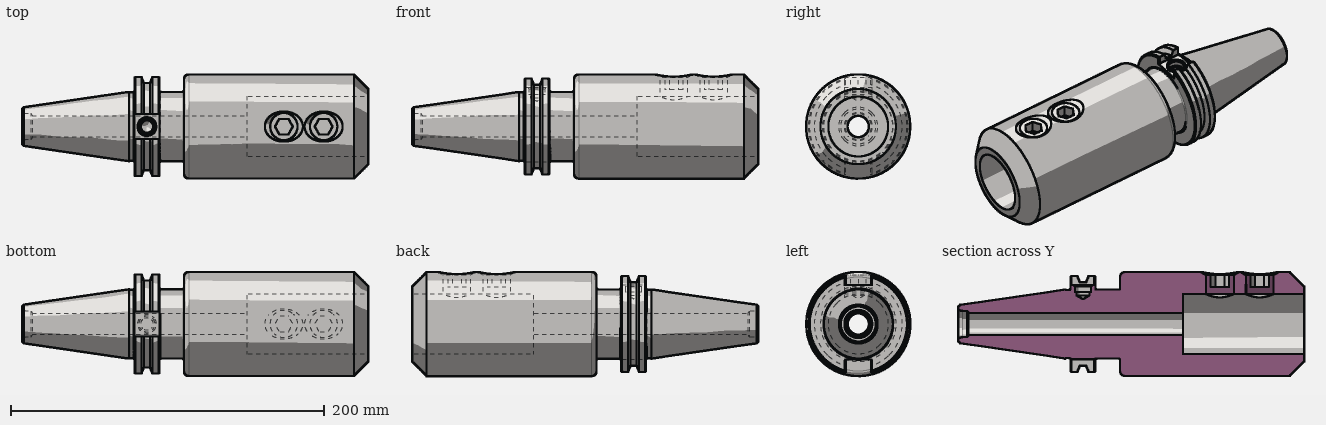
import cadquery as cq
import math

TOTAL_LENGTH = 220.6

TAPER_SMALL_DIA = 24.5
TAPER_LARGE_DIA = 44.4
TAPER_END_X = 68.0
TAPER_TIP_CHAMFER = 1.0
COLLAR_DIA = 44.0
COLLAR_RELIEF = 0.9

FLANGE_DIA = 63.3
FLANGE_START_X = 71.5
FLANGE_END_X = 87.5
FLANGE_CHAMFER = 0.7
GROOVE_FLOOR_DIA = 55.8
GROOVE_FLOOR_WIDTH = 4.0
GROOVE_MOUTH_WIDTH = 7.0

NECK_DIA = 44.4
NECK_FILLET = 0.7
BODY_DIA = 66.6
BODY_START_X = 103.0
SHOULDER_FILLET = 3.3
NOSE_CHAMFER = 9.3

COOLANT_DIA = 13.5
PILOT_DIA = 16.5
PILOT_MOUTH_DIA = 17.9
PILOT_MOUTH_DEPTH = 2.6
PILOT_DEPTH = 5.7
SHANK_BORE_DIA = 38.2
SHANK_BORE_DEPTH = 77.2

SLOT_WIDTH = 15.9
SLOT_EDGE_CHAMFER = 0.9
UPPER_SLOT_FLOOR = 25.0
LOWER_SLOT_FLOOR = 22.5
LOWER_SLOT_CORNER = 1.8

KEY_HOLE_MOUTH_DIA = 12.0
KEY_HOLE_DIA = 10.1
KEY_HOLE_STEP_DIA = 8.0
KEY_HOLE_STEP_DEPTH = 4.5
KEY_HOLE_DEPTH = 6.6

SCREW_DIA = 17.5
SCREW_XS = (166.8, 192.2)
SCREW_TOP_Z = 31.3
HEX_ACROSS_FLATS = 10.0
HEX_DEPTH = 7.7

CONE_HALF_ANGLE = 60.0

BODY_RADIUS = BODY_DIA / 2
FLANGE_RADIUS = FLANGE_DIA / 2
NECK_RADIUS = NECK_DIA / 2
FLANGE_MID_X = (FLANGE_START_X + FLANGE_END_X) / 2
FLANGE_WIDTH = FLANGE_END_X - FLANGE_START_X
BORE_START_X = TOTAL_LENGTH - SHANK_BORE_DEPTH
SCREW_BOTTOM_Z = SHANK_BORE_DIA / 2


def cone_length(start_dia, end_dia):
    """Axial length of a cone running between two diameters."""
    return abs(start_dia - end_dia) / 2 / math.tan(math.radians(CONE_HALF_ANGLE))


def arc_setback(radius):
    """Distance from a square corner, along each side, to the middle of its rounding arc."""
    return radius * (1 - math.sqrt(0.5))


def revolve_about_x(profile):
    """Turn a closed (x, radius) profile around the tool axis."""
    return profile.close().revolve(360, (0, 0, 0), (1, 0, 0))


def revolve_about_z(points, x):
    """Turn a closed (radius, z) outline around a vertical axis at the given X."""
    turned = cq.Workplane("XZ").polyline(points).close().revolve(360, (0, 0, 0), (0, 1, 0))
    return turned.translate((x, 0, 0))


def make_outer_form():
    """Taper, collar, grooved flange, neck and body as one turned solid."""
    taper_slope = (TAPER_LARGE_DIA - TAPER_SMALL_DIA) / 2 / TAPER_END_X
    tip_radius = TAPER_SMALL_DIA / 2
    collar_radius = COLLAR_DIA / 2
    floor_radius = GROOVE_FLOOR_DIA / 2
    flange_edge_radius = FLANGE_RADIUS - FLANGE_CHAMFER
    half_floor = GROOVE_FLOOR_WIDTH / 2
    half_mouth = GROOVE_MOUTH_WIDTH / 2
    shoulder_arc = arc_setback(SHOULDER_FILLET)
    neck_arc = arc_setback(NECK_FILLET)
    profile = (
        cq.Workplane("XY")
        .moveTo(0, 0)
        .lineTo(0, tip_radius - TAPER_TIP_CHAMFER)
        .lineTo(TAPER_TIP_CHAMFER, tip_radius + TAPER_TIP_CHAMFER * taper_slope)
        .lineTo(TAPER_END_X, TAPER_LARGE_DIA / 2)
        .lineTo(TAPER_END_X + COLLAR_RELIEF, collar_radius)
        .lineTo(FLANGE_START_X - NECK_FILLET, collar_radius)
        .threePointArc(
            (FLANGE_START_X - neck_arc, collar_radius + neck_arc),
            (FLANGE_START_X, collar_radius + NECK_FILLET),
        )
        .lineTo(FLANGE_START_X, flange_edge_radius)
        .lineTo(FLANGE_START_X + FLANGE_CHAMFER, FLANGE_RADIUS)
        .lineTo(FLANGE_MID_X - half_mouth, FLANGE_RADIUS)
        .lineTo(FLANGE_MID_X - half_floor, floor_radius)
        .lineTo(FLANGE_MID_X + half_floor, floor_radius)
        .lineTo(FLANGE_MID_X + half_mouth, FLANGE_RADIUS)
        .lineTo(FLANGE_END_X - FLANGE_CHAMFER, FLANGE_RADIUS)
        .lineTo(FLANGE_END_X, flange_edge_radius)
        .lineTo(FLANGE_END_X, NECK_RADIUS + NECK_FILLET)
        .threePointArc(
            (FLANGE_END_X + neck_arc, NECK_RADIUS + neck_arc),
            (FLANGE_END_X + NECK_FILLET, NECK_RADIUS),
        )
        .lineTo(BODY_START_X - NECK_FILLET, NECK_RADIUS)
        .threePointArc(
            (BODY_START_X - neck_arc, NECK_RADIUS + neck_arc),
            (BODY_START_X, NECK_RADIUS + NECK_FILLET),
        )
        .lineTo(BODY_START_X, BODY_RADIUS - SHOULDER_FILLET)
        .threePointArc(
            (BODY_START_X + shoulder_arc, BODY_RADIUS - shoulder_arc),
            (BODY_START_X + SHOULDER_FILLET, BODY_RADIUS),
        )
        .lineTo(TOTAL_LENGTH - NOSE_CHAMFER, BODY_RADIUS)
        .lineTo(TOTAL_LENGTH, BODY_RADIUS - NOSE_CHAMFER)
        .lineTo(TOTAL_LENGTH, 0)
    )
    return revolve_about_x(profile)


def make_central_passage():
    """Pull-stud pilot, through passage and shank bore along the tool axis."""
    cone_end_x = PILOT_DEPTH + cone_length(PILOT_DIA, COOLANT_DIA)
    profile = (
        cq.Workplane("XY")
        .moveTo(0, 0)
        .lineTo(0, PILOT_MOUTH_DIA / 2)
        .lineTo(PILOT_MOUTH_DEPTH, PILOT_DIA / 2)
        .lineTo(PILOT_DEPTH, PILOT_DIA / 2)
        .lineTo(cone_end_x, COOLANT_DIA / 2)
        .lineTo(BORE_START_X, COOLANT_DIA / 2)
        .lineTo(BORE_START_X, SHANK_BORE_DIA / 2)
        .lineTo(TOTAL_LENGTH, SHANK_BORE_DIA / 2)
        .lineTo(TOTAL_LENGTH, 0)
    )
    return revolve_about_x(profile)


def make_drive_slot(floor_distance):
    """Slot cutter on the +Z side, flared where it meets the two flange faces."""
    half = SLOT_WIDTH / 2
    flare = half + SLOT_EDGE_CHAMFER
    left, right = FLANGE_START_X, FLANGE_END_X
    outline = [
        (left, -flare),
        (left + SLOT_EDGE_CHAMFER, -half),
        (right - SLOT_EDGE_CHAMFER, -half),
        (right, -flare),
        (right, flare),
        (right - SLOT_EDGE_CHAMFER, half),
        (left + SLOT_EDGE_CHAMFER, half),
        (left, flare),
    ]
    depth = FLANGE_RADIUS - floor_distance
    return cq.Workplane("XY").workplane(offset=floor_distance).polyline(outline).close().extrude(depth)


def make_lower_slot():
    """Deeper slot cutter with rounded floor corners, on the -Z side."""
    mouth_width = SLOT_WIDTH + 2 * SLOT_EDGE_CHAMFER
    bar = (
        cq.Workplane("XY")
        .workplane(offset=LOWER_SLOT_FLOOR)
        .center(FLANGE_MID_X, 0)
        .rect(FLANGE_WIDTH, mouth_width)
        .extrude(FLANGE_RADIUS - LOWER_SLOT_FLOOR)
        .edges("|X and <Z")
        .fillet(LOWER_SLOT_CORNER)
    )
    cutter = make_drive_slot(LOWER_SLOT_FLOOR).intersect(bar)
    return cutter.rotate((0, 0, 0), (1, 0, 0), 180)


def make_key_hole():
    """Countersunk, stepped blind hole with a conical bottom."""
    top = UPPER_SLOT_FLOOR
    sink_z = top - (KEY_HOLE_MOUTH_DIA - KEY_HOLE_DIA) / 2
    step_z = top - KEY_HOLE_STEP_DEPTH
    floor_z = top - KEY_HOLE_DEPTH
    tip_z = floor_z - cone_length(KEY_HOLE_STEP_DIA, 0)
    outline = [
        (0, top),
        (KEY_HOLE_MOUTH_DIA / 2, top),
        (KEY_HOLE_DIA / 2, sink_z),
        (KEY_HOLE_DIA / 2, step_z),
        (KEY_HOLE_STEP_DIA / 2, step_z),
        (KEY_HOLE_STEP_DIA / 2, floor_z),
        (0, tip_z),
    ]
    return revolve_about_z(outline, FLANGE_MID_X)


def make_screw_hole(x):
    """Radial hole from the shank bore outwards, ending in a wide countersink."""
    radius = SCREW_DIA / 2
    mouth_radius = radius + (BODY_RADIUS - SCREW_TOP_Z) * math.tan(math.radians(CONE_HALF_ANGLE))
    outline = [
        (0, 0),
        (radius, 0),
        (radius, SCREW_TOP_Z),
        (mouth_radius, BODY_RADIUS),
        (0, BODY_RADIUS),
    ]
    return revolve_about_z(outline, x)


def make_holder():
    """Tool holder with all its cuts."""
    holder = make_outer_form().cut(make_central_passage())
    holder = holder.cut(make_drive_slot(UPPER_SLOT_FLOOR)).cut(make_lower_slot())
    holder = holder.cut(make_key_hole())
    for x in SCREW_XS:
        holder = holder.cut(make_screw_hole(x))
    return holder


def make_set_screw(x):
    """Headless screw with a hexagon socket, its tip level with the top of the shank bore."""
    screw = cq.Workplane("XY").circle(SCREW_DIA / 2).extrude(SCREW_TOP_Z - SCREW_BOTTOM_Z)
    hex_corner_dia = HEX_ACROSS_FLATS / math.cos(math.pi / 6)
    screw = screw.faces(">Z").workplane().polygon(6, hex_corner_dia).cutBlind(-HEX_DEPTH)
    return screw.translate((x, 0, SCREW_BOTTOM_Z))


holder = make_holder()
set_screws = [make_set_screw(x) for x in SCREW_XS]

result = cq.Compound.makeCompound([holder.val(), *[screw.val() for screw in set_screws]])